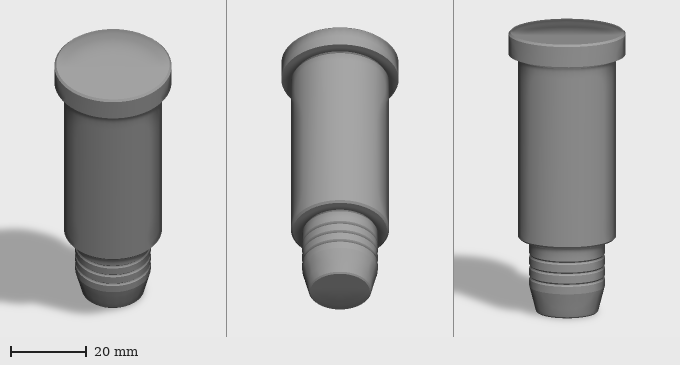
import cadquery as cq

total_height = 76.0
head_height = 6.0
body_bottom = 20.0
pilot_top = 19.1
taper_top = 7.0

head_radius = 31.0 / 2
body_radius = 26.0 / 2
pilot_radius = 20.0 / 2
relief_radius = 9.5
tip_radius = 8.3

edge_chamfer = 0.5
tip_chamfer = 0.4
head_neck_height = 0.45

groove_count = 3
lowest_groove_height = 9.5
groove_pitch = 3.0
groove_width = 0.9
groove_depth = 0.45

head_bottom = total_height - head_height
body_top = head_bottom - head_neck_height


def turned_section(radius, bottom, top):
    """Plain cylinder between two heights."""
    return cq.Workplane("XY").workplane(offset=bottom).circle(radius).extrude(top - bottom)


def groove_cutter(height):
    """Ring with a V-shaped cross section centred at the given height."""
    half_width = groove_width / 2
    return (
        cq.Workplane("XZ")
        .moveTo(pilot_radius, height - half_width)
        .lineTo(pilot_radius - groove_depth, height)
        .lineTo(pilot_radius, height + half_width)
        .close()
        .revolve(360, (0, 0, 0), (0, 1, 0))
    )


def tapered_pilot():
    """Pilot with a conical lead-in, a chamfered tip and V-grooves."""
    pilot = (
        cq.Workplane("XZ")
        .lineTo(tip_radius - tip_chamfer, 0)
        .lineTo(tip_radius, tip_chamfer)
        .lineTo(pilot_radius, taper_top)
        .lineTo(pilot_radius, pilot_top)
        .lineTo(0, pilot_top)
        .close()
        .revolve(360, (0, 0, 0), (0, 1, 0))
    )
    for index in range(groove_count):
        pilot = pilot.cut(groove_cutter(lowest_groove_height + index * groove_pitch))
    return pilot


head = turned_section(head_radius, head_bottom, total_height).faces(">Z").chamfer(edge_chamfer)
head_neck = turned_section(body_radius - edge_chamfer, body_top, head_bottom)
body = turned_section(body_radius, body_bottom, body_top).faces("<Z or >Z").chamfer(edge_chamfer)
relief = turned_section(relief_radius, pilot_top, body_bottom)

result = tapered_pilot().union(relief).union(body).union(head_neck).union(head)